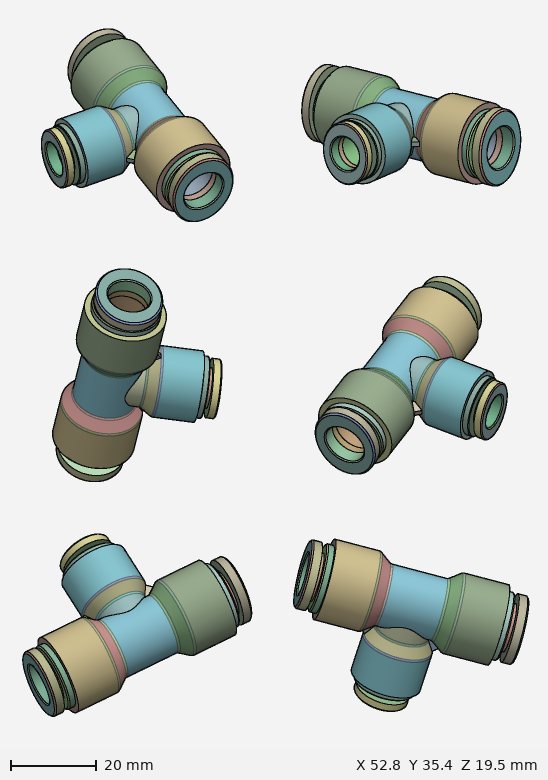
import cadquery as cq


run_end = 26.4
run_flange_inner = 23.95
run_collar_end = 22.9
run_housing_end = 21.15
run_housing_dia = 19.5
run_waist_dia = 15.0
run_cone_outer = 10.06
run_cone_inner = 7.0
run_collar_dia = 16.5
run_collar_chamfer = 0.35
run_neck_dia = 11.7
run_flange_width = 16.0
run_flange_height = 18.6
run_flange_chamfer = 0.4
run_bore_dia = 10.15

branch_end = 25.6
branch_flange_inner = 23.6
branch_collar_end = 22.6
branch_housing_end = 21.05
branch_housing_dia = 16.9
branch_waist_dia = 13.0
branch_cone_outer = 11.05
branch_cone_inner = 8.0
branch_collar_dia = 14.7
branch_collar_chamfer = 0.2
branch_neck_dia = 9.6
branch_flange_width = 13.0
branch_flange_height = 15.1
branch_flange_chamfer = 0.3
branch_bore_dia = 8.2

mouth_chamfer = 0.3
cone_blend_radius = 1.0
tube_stop = 11.0
web_thickness = 1.2
web_reach = 19.0


def port_shell(housing_end, housing_dia, waist_dia, cone_outer, cone_inner):
    """Solid waist, cone and port cylinder, with the cone ends rounded."""
    profile = (
        cq.Workplane("XZ")
        .moveTo(0, 0)
        .lineTo(waist_dia / 2, 0)
        .lineTo(waist_dia / 2, cone_inner)
        .lineTo(housing_dia / 2, cone_outer)
        .lineTo(housing_dia / 2, housing_end)
        .lineTo(0, housing_end)
        .close()
    )
    shell = profile.revolve(360, (0, 0, 0), (0, 1, 0))
    return shell.faces("%CONE").edges("%CIRCLE").fillet(cone_blend_radius)


def port_bore(housing_end, bore_dia):
    """Blind tube hole in the housing."""
    return (
        cq.Workplane("XY").workplane(offset=tube_stop)
        .circle(bore_dia / 2)
        .extrude(housing_end - tube_stop)
    )


def make_collar(housing_end, collar_end, collar_dia, bore_dia, chamfer):
    return (
        cq.Workplane("XY").workplane(offset=housing_end)
        .circle(collar_dia / 2)
        .extrude(collar_end - housing_end)
        .faces(">Z").edges().chamfer(chamfer)
        .faces(">Z").workplane()
        .hole(bore_dia)
    )


def make_sleeve(collar_end, flange_inner, end, neck_dia, width, height, chamfer, bore_dia):
    """Round neck with an oval push flange; the oval's width lies along X."""
    flange = (
        cq.Workplane("XY").workplane(offset=flange_inner)
        .ellipse(width / 2, height / 2)
        .extrude(end - flange_inner)
        .faces(">Z").edges().chamfer(chamfer)
    )
    neck = (
        cq.Workplane("XY").workplane(offset=collar_end)
        .circle(neck_dia / 2)
        .extrude(flange_inner - collar_end)
    )
    return (
        flange.union(neck)
        .faces(">Z").workplane()
        .hole(bore_dia)
        .faces(">Z").edges("%CIRCLE").chamfer(mouth_chamfer)
    )


def to_branch(body):
    """Turn a port from +Z to -Y."""
    return body.rotate((0, 0, 0), (1, 0, 0), 90)


def to_run(body, side):
    """Turn a port from +Z to -Y and then to +X (side 1) or -X (side -1)."""
    return to_branch(body).rotate((0, 0, 0), (0, 0, 1), side * 90)


sides = (1, -1)

run_shell = port_shell(
    run_housing_end, run_housing_dia, run_waist_dia, run_cone_outer, run_cone_inner
)
branch_shell = port_shell(
    branch_housing_end, branch_housing_dia, branch_waist_dia, branch_cone_outer, branch_cone_inner
)
web = (
    cq.Workplane("XY")
    .polyline([(-web_reach, 0), (web_reach, 0), (0, -web_reach)])
    .close()
    .extrude(web_thickness / 2, both=True)
)
run_bore = port_bore(run_housing_end, run_bore_dia)
branch_bore = port_bore(branch_housing_end, branch_bore_dia)

housing = to_branch(branch_shell).union(web)
for side in sides:
    housing = housing.union(to_run(run_shell, side))
for side in sides:
    housing = housing.cut(to_run(run_bore, side))
housing = housing.cut(to_branch(branch_bore))

run_collar = make_collar(
    run_housing_end, run_collar_end, run_collar_dia, run_bore_dia, run_collar_chamfer
)
run_sleeve = make_sleeve(
    run_collar_end, run_flange_inner, run_end, run_neck_dia,
    run_flange_width, run_flange_height, run_flange_chamfer, run_bore_dia,
)
branch_collar = make_collar(
    branch_housing_end, branch_collar_end, branch_collar_dia, branch_bore_dia, branch_collar_chamfer
)
branch_sleeve = make_sleeve(
    branch_collar_end, branch_flange_inner, branch_end, branch_neck_dia,
    branch_flange_width, branch_flange_height, branch_flange_chamfer, branch_bore_dia,
)

run_collars = [to_run(run_collar, side).val() for side in sides]
run_sleeves = [to_run(run_sleeve, side).val() for side in sides]
result = cq.Compound.makeCompound([
    housing.val(),
    *run_collars,
    *run_sleeves,
    to_branch(branch_collar).val(),
    to_branch(branch_sleeve).val(),
])